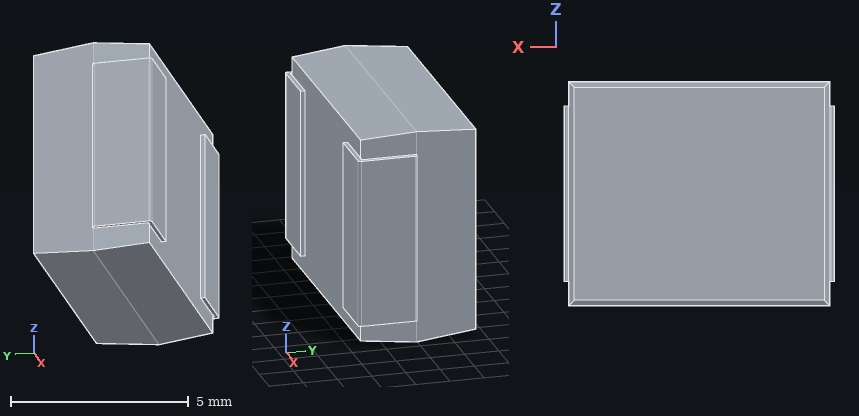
import cadquery as cq
import math

overall_length = 7.6
case_height = 6.3

strip_thickness = 0.13
terminal_width = 4.94
foot_length = 1.61
bend_radius = 0.075

front_depth = 1.595
rear_depth = 1.78
draft_angle = 5.0

case_length = overall_length - 2 * strip_thickness
foot_outer_y = -(front_depth + strip_thickness)


def drafted_half(depth, face_direction):
    """Half of the case, tapering from the parting plane toward face_direction along Y."""
    inset = depth * math.tan(math.radians(draft_angle))
    return (
        cq.Workplane("XZ")
        .rect(case_length, case_height)
        .workplane(offset=-face_direction * depth)
        .rect(case_length - 2 * inset, case_height - 2 * inset)
        .loft(ruled=True)
    )


def make_case():
    """One-piece case, widest at the parting plane."""
    return drafted_half(front_depth, -1).union(drafted_half(rear_depth, 1))


def make_terminal(side):
    """L-shaped strip at the end of the case on the given side (-1 or 1) of X."""
    outer_x = side * overall_length / 2
    inner_x = side * case_length / 2
    foot_tip_x = outer_x - side * foot_length
    strip = (
        cq.Workplane("XY")
        .moveTo(outer_x, 0)
        .lineTo(outer_x, foot_outer_y)
        .lineTo(foot_tip_x, foot_outer_y)
        .lineTo(foot_tip_x, -front_depth)
        .lineTo(inner_x, -front_depth)
        .lineTo(inner_x, 0)
        .close()
        .extrude(terminal_width / 2, both=True)
    )
    outer_end = ">X" if side > 0 else "<X"
    return strip.faces(outer_end).edges("|Z").fillet(bend_radius)


case = make_case()
terminals = [make_terminal(side) for side in (-1, 1)]

result = cq.Compound.makeCompound([case.val(), *[terminal.val() for terminal in terminals]])